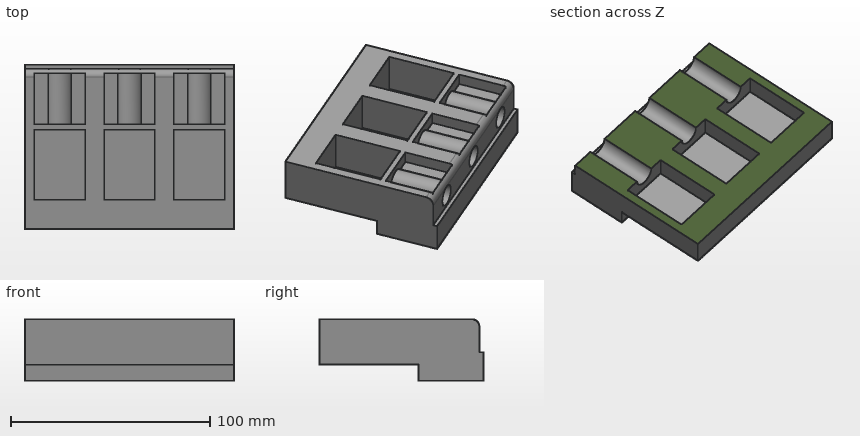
import cadquery as cq

width = 105.0
depth = 82.5
height = 31.0
foot_height = 8.1
foot_depth = 32.8
ledge_depth = 2.1
ledge_height = 14.4
back_edge_radius = 4.0

station_count = 3
station_pitch = width / station_count
pocket_width = 25.5

front_pocket_start = 14.7
front_pocket_end = depth - foot_depth
front_pocket_depth = 20.2

partition_thickness = 2.9
rear_pocket_start = front_pocket_end + partition_thickness
rear_pocket_end = depth - 4.4
rear_pocket_length = rear_pocket_end - rear_pocket_start
rear_pocket_depth = 6.0
tube_axis_height = height - 10.0
tube_radius = 7.0
bore_radius = 5.5


def make_block():
    """Stepped side profile, extruded across the width, with a rounded upper back edge."""
    upper_back = depth - ledge_depth
    profile = [
        (0, foot_height),
        (depth - foot_depth, foot_height),
        (depth - foot_depth, 0),
        (depth, 0),
        (depth, ledge_height),
        (upper_back, ledge_height),
        (upper_back, height),
        (0, height),
    ]
    block = cq.Workplane("YZ").polyline(profile).close().extrude(width)
    return block.faces(">Z").edges(">Y").fillet(back_edge_radius)


def make_pocket(x_center, y_start, y_end, pocket_depth):
    """Rectangular pocket cutter, open at the top face."""
    pocket = cq.Workplane("XY").box(pocket_width, y_end - y_start, pocket_depth, centered=(True, False, False))
    return pocket.translate((x_center, y_start, height - pocket_depth))


def make_rod(x_center, y_start, length, radius):
    """Cylinder along +Y on the tube axis."""
    start = cq.Vector(x_center, y_start, tube_axis_height)
    return cq.Workplane(obj=cq.Solid.makeCylinder(radius, length, start, cq.Vector(0, 1, 0)))


result = make_block()
for station in range(station_count):
    x_center = (station + 0.5) * station_pitch
    result = result.cut(make_pocket(x_center, front_pocket_start, front_pocket_end, front_pocket_depth))
    result = result.cut(make_pocket(x_center, rear_pocket_start, rear_pocket_end, rear_pocket_depth))
    result = result.union(make_rod(x_center, rear_pocket_start, rear_pocket_length, tube_radius))
    result = result.cut(make_rod(x_center, front_pocket_end, foot_depth, bore_radius))